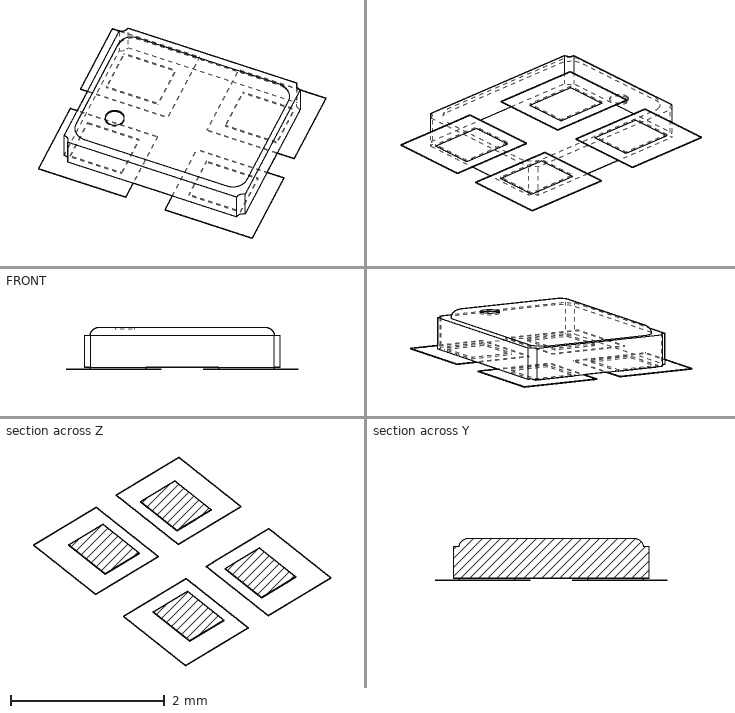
import cadquery as cq

footprint_length = 3.01
footprint_width = 2.51
land_gap_x = 0.55
land_gap_y = 0.345
land_thickness = 0.01

pad_span_x = 2.4
pad_span_y = 1.835
pad_gap_x = 0.948
pad_gap_y = 0.645
pad_thickness = 0.02

body_length = 2.55
body_width = 2.047
body_height = 0.415
notch_radius = 0.085

lid_length = 2.408
lid_width = 1.805
lid_height = 0.105
lid_corner_radius = 0.2
lid_edge_radius = 0.12
lid_embed = 0.018

mark_x = -0.745
mark_y = -0.495
mark_radius = 0.123
mark_depth = 0.02

pad_bottom = land_thickness
body_bottom = pad_bottom + pad_thickness
body_top = body_bottom + body_height
lid_top = body_top + lid_height


def corner_plates(span_x, span_y, gap_x, gap_y, thickness, bottom):
    """Four equal plates, one in each corner of a span_x by span_y rectangle."""
    return (
        cq.Workplane("XY", origin=(0, 0, bottom))
        .rarray((span_x + gap_x) / 2, (span_y + gap_y) / 2, 2, 2)
        .rect((span_x - gap_x) / 2, (span_y - gap_y) / 2)
        .extrude(thickness)
    )


def make_body():
    block = (
        cq.Workplane("XY", origin=(0, 0, body_bottom))
        .rect(body_length, body_width)
        .extrude(body_height)
    )
    notches = (
        cq.Workplane("XY", origin=(0, 0, body_bottom))
        .rarray(body_length, body_width, 2, 2)
        .circle(notch_radius)
        .extrude(body_height)
    )
    return block.cut(notches)


def make_lid():
    return (
        cq.Workplane("XY", origin=(0, 0, body_top - lid_embed))
        .rect(lid_length, lid_width)
        .extrude(lid_height + lid_embed)
        .edges("|Z")
        .fillet(lid_corner_radius)
        .faces(">Z")
        .edges()
        .fillet(lid_edge_radius)
    )


def make_mark():
    return (
        cq.Workplane("XY", origin=(mark_x, mark_y, lid_top - mark_depth))
        .circle(mark_radius)
        .extrude(mark_depth)
    )


lands = corner_plates(
    footprint_length, footprint_width, land_gap_x, land_gap_y, land_thickness, 0
)
pads = corner_plates(
    pad_span_x, pad_span_y, pad_gap_x, pad_gap_y, pad_thickness, pad_bottom
)

result = lands.union(pads).union(make_body()).union(make_lid()).cut(make_mark())